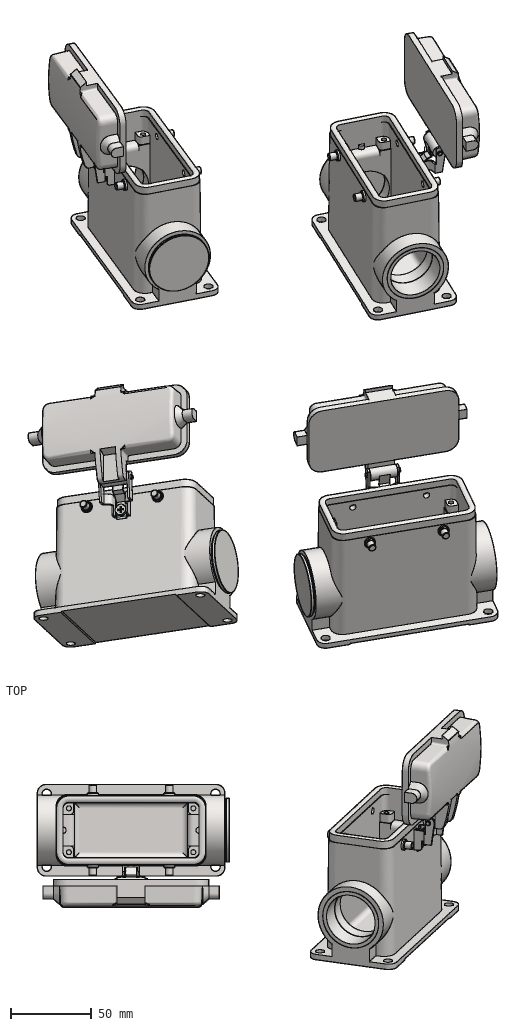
import cadquery as cq
import math


plate_length = 117.3
plate_width = 57.4
plate_thickness = 3.7
plate_corner_radius = 5.7
mount_hole_diameter = 5.7
mount_hole_x = 52.7
mount_hole_y = 22.7
relief_depth = 0.7
relief_half_length = 38.1

rim_top_z = 81.0
rim_bottom_z = 75.3
rim_thickness = 4.0
rim_crown_height = 0.7
tower_length = 94.7
tower_width = 44.8
tower_corner_radius = 7.6
tower_draft = 0.6

mouth_length = 85.0
mouth_width = 34.9
mouth_step_z = 75.7
pad_top_z = 65.0
ledge_z = 59.3
pad_length = 6.6
pad_width = 7.3
pad_corner_radius = 2.3
pad_hole_diameter = 3.1
pad_hole_depth = 5.7
pad_hole_x = 38.9
pad_hole_y = 13.7
well_length = 70.6
well_width = 34.2
floor_z = 7.0
floor_fillet = 3.4
ledge_fillet = 3.4
key_diameter = 4.0
key_height = 2.8

entry_z = 30.0
entry_diameter = 43.8
entry_foot_width = 25.0
thread_diameter = 32.0
entry_bore_diameter = 32.5
entry_bore_depth = 14.1
spotface_diameter = 37.5
spotface_depth = 0.3
peg_x = 23.9
peg_z = 70.9
peg_diameter = 4.8
peg_tip_y = 28.3
peg_chamfer = 0.4
collar_diameter = 7.0
collar_end_y = 23.5
collar_chamfer = 0.5
peg_core_diameter = 4.0
peg_core_depth = 4.2

plug_neck_diameter = 35.5
plug_flange_diameter = 40.0
plug_flange_thickness = 2.0
plug_end_x = 61.3
plug_edge_chamfer = 0.3

cover_z = 115.4
cover_back_y = -30.7
cover_front_y = -48.2
cover_flange_length = 97.2
cover_flange_height = 46.9
cover_flange_thickness = 4.1
cover_flange_radius = 8.8
cover_body_length = 89.3
cover_body_height = 39.0
cover_body_radius = 5.1
cover_body_draft = 2.5
cover_edge_fillet = 2.1
cover_face_radius = 120.1
strip_width = 17.4
strip_fillet = 1.3
hook_y = -42.0
hook_top_z = 141.3
hook_front_y = -46.3
hook_front_z = 138.2
lug_back_y = -37.0
lug_back_fillet = 1.1
lug_bottom_z = 78.4
lug_front_fillet = 2.8
groove_width = 10.3
groove_top_z = 98.0
groove_slope_height = 2.0
groove_floor_y = -40.5
cover_pin_diameter = 6.8
cover_pin_tip_x = 55.1
cover_pin_y = -39.5
cover_cone_diameter = 13.7

hinge_y = -33.2
hinge_z = 82.0
hinge_radius = 4.0
hinge_pin_diameter = 3.0
hinge_pin_tip_x = 11.3
hinge_pin_chamfer = 0.3

sheet = 1.0
bracket_back_y = -21.9
bracket_channel_width = 10.5
bracket_top_z = 74.0
bracket_bottom_z = 60.8
arm_bottom_z = 67.2
arm_front_y = -28.8
wing_front_y = -31.2
bend_inner_radius = 2.1
wing_half_width = 10.2
tab_front_y = -26.7
tab_chamfer = 1.0
ear_thickness = 1.34
ear_foot_front_y = -35.0
notch_width = 3.7
notch_depth = 1.4

spring_width = 6.9
spring_sheet = 0.7
spring_bottom_z = 59.0
spring_foot_top_z = 70.5
spring_knee_y = -27.3
spring_knee_z = 74.5
spring_bend_y = -30.1
spring_bend_z = 75.7
spring_tip_y = -28.4
spring_tip_z = 82.8
spring_corner_radius = 0.8
screw_z = 64.5
screw_head_diameter = 7.0
screw_head_height = 1.8
screw_shank_diameter = 4.0
screw_end_y = -19.2
cross_length = 4.0
cross_width = 0.8
cross_depth = 1.0

plate_half_length = plate_length / 2
rim_length = mouth_length + 2 * rim_thickness
rim_width = mouth_width + 2 * rim_thickness
mouth_corner_radius = tower_corner_radius - rim_thickness
cover_flange_front_y = cover_back_y - cover_flange_thickness
cover_flange_top_z = cover_z + cover_flange_height / 2
cover_flange_bottom_z = cover_z - cover_flange_height / 2
web_front_y = bracket_back_y - sheet


def rounded_block(length, width, z_low, z_high, radius):
    """Upright block with rounded vertical edges."""
    block = cq.Workplane("XY", origin=(0, 0, z_low)).rect(length, width).extrude(z_high - z_low)
    return block.edges("|Z").fillet(radius)


def box(x_low, x_high, y_low, y_high, z_low, z_high):
    size = (x_high - x_low, y_high - y_low, z_high - z_low)
    return cq.Workplane("XY", origin=(x_low, y_low, z_low)).box(*size, centered=False)


def rod_x(diameter, x_low, x_high, y, z):
    """Cylinder along X."""
    return cq.Workplane("YZ", origin=(x_low, y, z)).circle(diameter / 2).extrude(x_high - x_low)


def rod_y(diameter, y_low, y_high, x, z):
    """Cylinder along Y."""
    return cq.Workplane("XZ", origin=(x, y_high, z)).circle(diameter / 2).extrude(y_high - y_low)


def cover_face_y(z):
    """Y of the cylindrical front face of the cover at height z."""
    return cover_front_y + cover_face_radius - math.sqrt(cover_face_radius**2 - (z - cover_z) ** 2)


def mounting_plate():
    plate = rounded_block(plate_length, plate_width, 0, plate_thickness, plate_corner_radius)
    holes = (
        cq.Workplane("XY")
        .rect(2 * mount_hole_x, 2 * mount_hole_y, forConstruction=True)
        .vertices()
        .circle(mount_hole_diameter / 2)
        .extrude(plate_thickness)
    )
    relief = (
        cq.Workplane("XZ", origin=(0, plate_width / 2, 0))
        .moveTo(-relief_half_length - relief_depth, 0)
        .lineTo(-relief_half_length, relief_depth)
        .lineTo(relief_half_length, relief_depth)
        .lineTo(relief_half_length + relief_depth, 0)
        .close()
        .extrude(plate_width)
    )
    return plate.cut(holes).cut(relief)


def tower():
    sides = cq.Sketch().rect(tower_length, tower_width).vertices().fillet(tower_corner_radius)
    lower = (
        cq.Workplane("XY", origin=(0, 0, plate_thickness))
        .placeSketch(sides)
        .extrude(rim_bottom_z - plate_thickness, taper=tower_draft)
    )
    rim_side_top_z = rim_top_z - rim_crown_height
    rim = rounded_block(rim_length, rim_width, rim_bottom_z, rim_side_top_z, tower_corner_radius)
    return lower.union(rim)


def arch(plane):
    """Arched section of the rim top, drawn about the middle of the rim wall."""
    half = rim_thickness / 2
    return plane.moveTo(-half, 0).threePointArc((0, rim_crown_height), (half, 0)).close()


def rim_crown():
    """Arched top of the rim: four straight runs joined by quarter turns."""
    base_z = rim_top_z - rim_crown_height
    turn_radius = tower_corner_radius - rim_thickness / 2
    turn_x = rim_length / 2 - tower_corner_radius
    turn_y = rim_width / 2 - tower_corner_radius
    crown = cq.Workplane("XY")
    for side in (-1, 1):
        long_run = cq.Workplane("YZ", origin=(-turn_x, side * (turn_y + turn_radius), base_z))
        crown = crown.add(arch(long_run).extrude(2 * turn_x))
        short_run = cq.Workplane("XZ", origin=(side * (turn_x + turn_radius), turn_y, base_z))
        crown = crown.add(arch(short_run).extrude(2 * turn_y))
    quarter = arch(cq.Workplane("XZ", origin=(turn_radius, 0, base_z)))
    quarter = quarter.revolve(90, (-turn_radius, 0), (-turn_radius, 1))
    for index, (side_x, side_y) in enumerate(((1, 1), (-1, 1), (-1, -1), (1, -1))):
        turned = quarter.rotate((0, 0, 0), (0, 0, 1), 90 * index)
        crown = crown.add(turned.translate((side_x * turn_x, side_y * turn_y, 0)))
    return crown.combine()


def cable_entries():
    """Horizontal barrel through both ends of the tower, with the feet that carry it."""
    barrel = rod_x(entry_diameter, -plate_half_length, plate_half_length, 0, entry_z)
    foot_half = entry_foot_width / 2
    feet = box(-plate_half_length, plate_half_length, -foot_half, foot_half, plate_thickness, entry_z)
    return barrel.union(feet)


def cavity():
    """Mouth, end ledges with screw pads and key ribs, and the central well."""
    upper_mouth = rounded_block(mouth_length, mouth_width, mouth_step_z, rim_top_z, mouth_corner_radius)
    mouth = rounded_block(mouth_length, well_width, ledge_z, mouth_step_z, mouth_corner_radius)
    mouth = mouth.union(upper_mouth)
    for side_x in (-1, 1):
        for side_y in (-1, 1):
            corner_x = side_x * mouth_length / 2
            corner_y = side_y * well_width / 2
            pad = (
                box(
                    *sorted((corner_x, corner_x - side_x * pad_length)),
                    *sorted((corner_y, corner_y - side_y * pad_width)),
                    ledge_z,
                    pad_top_z,
                )
                .edges("|Z")
                .edges(cq.selectors.NearestToPointSelector((0, 0, pad_top_z)))
                .fillet(pad_corner_radius)
            )
            mouth = mouth.cut(pad)
            hole = (
                cq.Workplane("XY", origin=(side_x * pad_hole_x, side_y * pad_hole_y, pad_top_z))
                .circle(pad_hole_diameter / 2)
                .extrude(-pad_hole_depth)
            )
            mouth = mouth.union(hole)
        key = (
            cq.Workplane("XY", origin=(side_x * mouth_length / 2, 0, ledge_z))
            .circle(key_diameter / 2)
            .extrude(key_height)
        )
        mouth = mouth.cut(key)
    well = (
        cq.Workplane("XY", origin=(0, 0, floor_z))
        .rect(well_length, well_width)
        .extrude(ledge_z - floor_z)
        .faces("<Z")
        .edges()
        .fillet(floor_fillet)
    )
    shoulder_width = well_width - 2 * pad_width
    half_length = well_length / 2
    shoulders = box(
        -half_length - ledge_fillet, half_length + ledge_fillet,
        -shoulder_width / 2, shoulder_width / 2,
        ledge_z - ledge_fillet, ledge_z,
    )
    for side_x in (-1, 1):
        centre_x = side_x * (half_length + ledge_fillet)
        round_bar = rod_y(
            2 * ledge_fillet, -shoulder_width / 2, shoulder_width / 2, centre_x, ledge_z - ledge_fillet
        )
        shoulders = shoulders.cut(round_bar)
    return mouth.union(well).union(shoulders)


def entry_bores():
    """Threaded bore through both end walls, wider near the outside, with a shallow spotface."""
    bores = rod_x(thread_diameter, -plate_half_length, plate_half_length, 0, entry_z)
    wide = rod_x(
        entry_bore_diameter, -plate_half_length, -plate_half_length + entry_bore_depth, 0, entry_z
    )
    spotface = rod_x(
        spotface_diameter, -plate_half_length, -plate_half_length + spotface_depth, 0, entry_z
    )
    for cutter in (wide, spotface):
        bores = bores.union(cutter).union(cutter.mirror("YZ"))
    return bores


def locking_pegs():
    pegs = cq.Workplane("XY")
    for side_x in (-1, 1):
        x = side_x * peg_x
        root_y = well_width / 2
        peg = rod_y(peg_diameter, -peg_tip_y, -root_y, x, peg_z).faces("<Y").chamfer(peg_chamfer)
        collar = rod_y(collar_diameter, -collar_end_y, -root_y, x, peg_z).faces("<Y").chamfer(collar_chamfer)
        front_peg = peg.union(collar)
        pegs = pegs.add(front_peg).add(front_peg.mirror("XZ"))
    return pegs.combine()


def peg_cores():
    """Blind holes from the cavity into the roots of the pegs."""
    cores = cq.Workplane("XY")
    core_end_y = well_width / 2 + peg_core_depth
    for side_x in (-1, 1):
        cores = cores.add(rod_y(peg_core_diameter, -core_end_y, core_end_y, side_x * peg_x, peg_z))
    return cores.combine()


def make_housing():
    body = mounting_plate().union(tower()).union(cable_entries()).cut(cavity())
    body = body.union(rim_crown()).cut(entry_bores()).union(locking_pegs()).cut(peg_cores())
    screw_hole = rod_y(screw_shank_diameter, web_front_y, screw_end_y, 0, screw_z)
    return body.cut(screw_hole)


def make_plug():
    flange_x = plug_end_x - plug_flange_thickness
    seat_x = plate_half_length - spotface_depth
    shank_end_x = plate_half_length - entry_bore_depth
    flange = rod_x(plug_flange_diameter, flange_x, plug_end_x, 0, entry_z).edges().chamfer(plug_edge_chamfer)
    neck = rod_x(plug_neck_diameter, seat_x, flange_x, 0, entry_z)
    shank = rod_x(thread_diameter, shank_end_x, seat_x, 0, entry_z)
    return flange.union(neck).union(shank)


def cover_plate(length, height, y_back, y_front, radius):
    """Upright plate of the cover with rounded corners, thickness along Y."""
    plate = cq.Workplane("XZ", origin=(0, y_back, cover_z)).rect(length, height).extrude(y_back - y_front)
    return plate.edges("|Y").fillet(radius)


def cover_body():
    outline = cq.Sketch().rect(cover_body_length, cover_body_height).vertices().fillet(cover_body_radius)
    block = (
        cq.Workplane("XZ", origin=(0, cover_flange_front_y, cover_z))
        .placeSketch(outline)
        .extrude(cover_flange_front_y - cover_front_y, taper=cover_body_draft)
    )
    face_cylinder = rod_x(
        2 * cover_face_radius, -cover_body_length / 2, cover_body_length / 2,
        cover_front_y + cover_face_radius, cover_z,
    )
    return block.intersect(face_cylinder).faces("<Y").edges().fillet(cover_edge_fillet)


def cover_strip():
    """Middle strip: latch hook above, hinge lug below, sharing the curved front face."""
    strip = (
        cq.Workplane("YZ", origin=(-strip_width / 2, 0, 0))
        .moveTo(cover_flange_front_y, cover_flange_top_z)
        .lineTo(hook_y, cover_flange_top_z)
        .lineTo(hook_y, hook_top_z)
        .lineTo(hook_front_y, hook_front_z)
        .lineTo(cover_face_y(hook_front_z), hook_front_z)
        .threePointArc((cover_front_y, cover_z), (cover_face_y(lug_bottom_z), lug_bottom_z))
        .lineTo(lug_back_y, lug_bottom_z)
        .lineTo(lug_back_y, cover_flange_bottom_z)
        .lineTo(cover_flange_front_y, cover_flange_bottom_z)
        .close()
        .extrude(strip_width)
    )
    front_edge = cq.selectors.NearestToPointSelector((0, cover_face_y(lug_bottom_z), lug_bottom_z))
    back_edge = cq.selectors.NearestToPointSelector((0, lug_back_y, cover_flange_bottom_z))
    strip = strip.edges("|X").edges(front_edge).fillet(lug_front_fillet)
    return strip.edges("|X").edges(back_edge).fillet(lug_back_fillet)


def hinge_knuckle():
    half = strip_width / 2
    knuckle = rod_x(2 * hinge_radius, -half, half, hinge_y, hinge_z)
    pin = rod_x(hinge_pin_diameter, -hinge_pin_tip_x, hinge_pin_tip_x, hinge_y, hinge_z)
    return knuckle.union(pin.faces("<X or >X").chamfer(hinge_pin_chamfer))


def lug_groove():
    """Groove down the front of the lug, with a sloping upper end."""
    return (
        cq.Workplane("YZ", origin=(-groove_width / 2, 0, 0))
        .moveTo(groove_floor_y, lug_bottom_z)
        .lineTo(groove_floor_y, groove_top_z - groove_slope_height)
        .lineTo(cover_face_y(groove_top_z), groove_top_z)
        .lineTo(cover_front_y, groove_top_z)
        .lineTo(cover_front_y, lug_bottom_z)
        .close()
        .extrude(groove_width)
    )


def pin_outline(plane, diameter):
    """Pin section: flat against the flange, half round at the front."""
    radius = diameter / 2
    return (
        plane.moveTo(cover_flange_front_y, cover_z - radius)
        .lineTo(cover_pin_y, cover_z - radius)
        .threePointArc((cover_pin_y - radius, cover_z), (cover_pin_y, cover_z + radius))
        .lineTo(cover_flange_front_y, cover_z + radius)
        .close()
    )


def cover_side_pin():
    """Locking pin at the -X end of the cover with its flared root."""
    root_x = -cover_body_length / 2
    flare_x = -cover_flange_length / 2
    pin = pin_outline(cq.Workplane("YZ", origin=(-cover_pin_tip_x, 0, 0)), cover_pin_diameter)
    pin = pin.extrude(cover_pin_tip_x + root_x)
    flare = pin_outline(cq.Workplane("YZ", origin=(root_x, 0, 0)), cover_cone_diameter)
    flare = flare.workplane(offset=flare_x - root_x)
    flare = pin_outline(flare, cover_pin_diameter).loft(ruled=True)
    return pin.union(flare)


def make_cover():
    flange = cover_plate(
        cover_flange_length, cover_flange_height, cover_back_y, cover_flange_front_y, cover_flange_radius
    )
    half_space = box(
        0, cover_body_length, cover_front_y, cover_flange_front_y, lug_bottom_z, hook_top_z
    )
    half_body = cover_body().union(cover_strip()).intersect(half_space)
    for side_z in (-1, 1):
        corner = (
            strip_width / 2,
            (cover_flange_front_y + cover_front_y) / 2,
            cover_z + side_z * cover_body_height / 2,
        )
        inner_corner = cq.selectors.NearestToPointSelector(corner)
        half_body = half_body.edges("not(|X or |Z)").edges(inner_corner).fillet(strip_fillet)
    body = half_body.union(half_body.mirror("YZ"))
    pin = cover_side_pin()
    cover = flange.union(body).union(hinge_knuckle()).cut(lug_groove())
    return cover.union(pin).union(pin.mirror("YZ"))


def bracket_side():
    """Half of the bent sheet on the +X side: channel leg, wing and hinge ear."""
    outer_x = bracket_channel_width / 2
    inner_x = outer_x - sheet
    ear_x = wing_half_width - ear_thickness
    arm = (
        cq.Workplane("XY", origin=(0, 0, arm_bottom_z))
        .moveTo(inner_x, bracket_back_y)
        .lineTo(outer_x, bracket_back_y)
        .lineTo(outer_x, arm_front_y)
        .lineTo(wing_half_width, wing_front_y + sheet)
        .lineTo(wing_half_width, wing_front_y)
        .lineTo(ear_x, wing_front_y)
        .lineTo(inner_x, arm_front_y - sheet)
        .close()
        .extrude(bracket_top_z - arm_bottom_z)
    )
    middle_z = (arm_bottom_z + bracket_top_z) / 2
    inner_bend = cq.selectors.NearestToPointSelector((outer_x, arm_front_y, middle_z))
    outer_bend = cq.selectors.NearestToPointSelector((inner_x, arm_front_y - sheet, middle_z))
    arm = arm.edges("|Z").edges(inner_bend).fillet(bend_inner_radius)
    arm = arm.edges("|Z").edges(outer_bend).fillet(bend_inner_radius + sheet)
    tab = (
        box(inner_x, outer_x, tab_front_y, bracket_back_y, bracket_bottom_z, arm_bottom_z)
        .edges("|X and <Y and <Z")
        .chamfer(tab_chamfer)
    )
    ear_back_y = wing_front_y
    ear_crest_z = hinge_z + math.sqrt(hinge_radius**2 - (ear_back_y - hinge_y) ** 2)
    ear = (
        cq.Workplane("YZ", origin=(ear_x, 0, 0))
        .moveTo(ear_back_y, arm_bottom_z)
        .lineTo(ear_foot_front_y, arm_bottom_z)
        .lineTo(hinge_y - hinge_radius, hinge_z)
        .threePointArc((hinge_y, hinge_z + hinge_radius), (ear_back_y, ear_crest_z))
        .close()
        .extrude(ear_thickness)
    )
    return arm.union(tab).union(ear)


def make_bracket():
    half = bracket_channel_width / 2
    web = box(-half, half, web_front_y, bracket_back_y, bracket_bottom_z, bracket_top_z)
    notch = box(
        -notch_width / 2, notch_width / 2, web_front_y, bracket_back_y,
        bracket_top_z - notch_depth, bracket_top_z,
    )
    side = bracket_side()
    bracket = web.cut(notch).union(side).union(side.mirror("YZ"))
    pin_hole = rod_x(hinge_pin_diameter, -wing_half_width, wing_half_width, hinge_y, hinge_z)
    screw_hole = rod_y(screw_shank_diameter, web_front_y, bracket_back_y, 0, screw_z)
    return bracket.cut(pin_hole).cut(screw_hole)


def spring_leaf():
    """Bent strip: flat foot on the bracket web, step outward, then up behind the hinge knuckle."""
    foot_y = web_front_y - spring_sheet / 2
    path = [
        (foot_y, spring_bottom_z + spring_sheet / 2),
        (foot_y, spring_foot_top_z),
        (spring_knee_y, spring_knee_z),
        (spring_bend_y, spring_bend_z),
        (spring_tip_y, spring_tip_z),
    ]
    leaf = (
        cq.Workplane("YZ", origin=(-spring_width / 2, 0, 0))
        .polyline(path)
        .offset2D(spring_sheet / 2)
        .extrude(spring_width)
    )
    strip_end_z = 2 * spring_tip_z - spring_bottom_z
    outline = (
        box(-spring_width / 2, spring_width / 2, cover_front_y, 0, spring_bottom_z, strip_end_z)
        .edges("|Y")
        .fillet(spring_corner_radius)
    )
    return leaf.intersect(outline)


def fixing_screw():
    seat_y = web_front_y - spring_sheet
    head_y = seat_y - screw_head_height
    screw = rod_y(screw_head_diameter, head_y, seat_y, 0, screw_z)
    screw = screw.union(rod_y(screw_shank_diameter, seat_y, screw_end_y, 0, screw_z))
    for length, height in ((cross_length, cross_width), (cross_width, cross_length)):
        slot = cq.Workplane("XZ", origin=(0, head_y + cross_depth, screw_z)).rect(length, height)
        screw = screw.cut(slot.extrude(cross_depth))
    return screw


def make_spring():
    return spring_leaf().union(fixing_screw())


housing = make_housing()
plug = make_plug()
cover = make_cover()
bracket = make_bracket()
spring = make_spring()

bodies = [housing, plug, cover, bracket, spring]
result = cq.Compound.makeCompound([body.solids().val() for body in bodies])